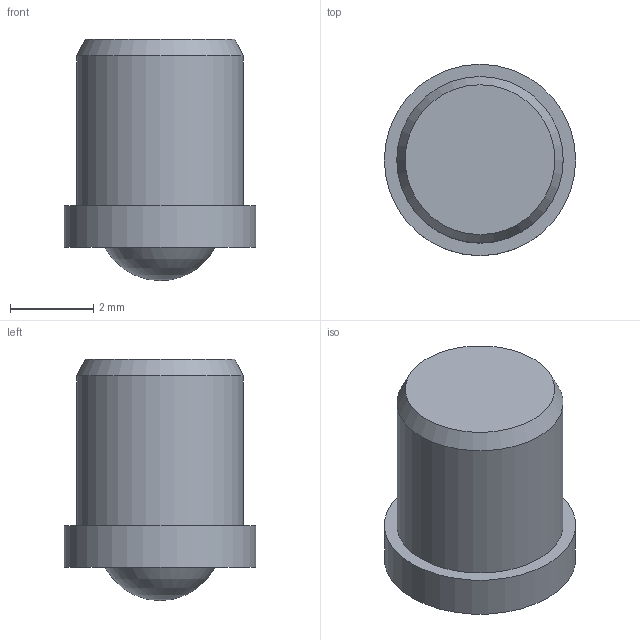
import cadquery as cq
import math

body_diameter = 4.0
body_length = 4.0
taper_height = 0.4
taper_inset = 0.2
flange_diameter = 4.6
flange_thickness = 1.0
ball_diameter = 3.0
ball_protrusion = 0.8

body_radius = body_diameter / 2
flange_radius = flange_diameter / 2
ball_radius = ball_diameter / 2

flange_top = flange_thickness
body_top = flange_top + body_length
taper_start = body_top - taper_height
ball_bottom = -ball_protrusion
ball_center = ball_bottom + ball_radius

ball_exit_radius = math.sqrt(ball_radius**2 - ball_center**2)

half_exposed_angle = math.asin(ball_exit_radius / ball_radius) / 2
arc_mid_radius = ball_radius * math.sin(half_exposed_angle)
arc_mid_height = ball_center - ball_radius * math.cos(half_exposed_angle)

half_profile = (
    cq.Workplane("XZ")
    .moveTo(0, ball_bottom)
    .threePointArc((arc_mid_radius, arc_mid_height), (ball_exit_radius, 0))
    .lineTo(flange_radius, 0)
    .lineTo(flange_radius, flange_top)
    .lineTo(body_radius, flange_top)
    .lineTo(body_radius, taper_start)
    .lineTo(body_radius - taper_inset, body_top)
    .lineTo(0, body_top)
    .close()
)

result = half_profile.revolve(360, (0, 0, 0), (0, 1, 0))